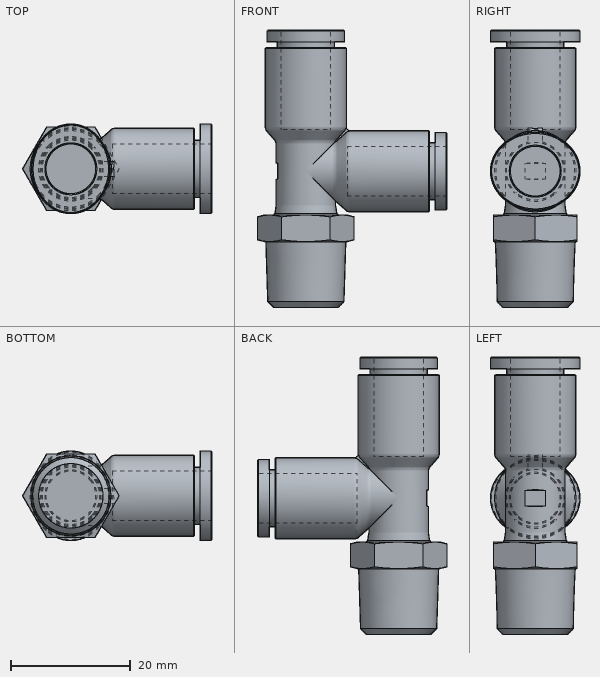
import cadquery as cq
import math

total_height = 46.4
port_reach = 23.6
junction_z = total_height - port_reach

thread_length = 11.0
thread_top_radius = 6.7
thread_taper = 1 / 32
thread_chamfer = 1.0

hex_flats = 14.0
hex_corners = hex_flats / math.cos(math.radians(30))
hex_height = 4.5
hex_top_z = thread_length + hex_height
hex_face_radius = 6.85
hex_corner_drop = 0.33

neck_radius = 5.0
foot_top_z = 17.0
foot_radius = 5.2
lip_radius = 5.4
lip_height = 0.25

barrel_radius = 6.8
shoulder_start = 4.95
shoulder_end = 7.0
shoulder_fillet = 0.9
selection_margin = 0.2
barrel_end = 20.7
edge_chamfer = 0.2
collar_thickness = 2.0
collar_start = port_reach - collar_thickness
collar_short_axis = 13.0
collar_long_axis = 15.0
stem_radius = 4.8
bore_radius = 4.15
bore_floor = shoulder_end

web_thickness = 2.5
web_reach = 7.2
web_tip_cut = 0.45

recess_depth = 0.3
recess_floor_height = 2.55
recess_mouth_height = 2.85


def make_threaded_end():
    end_radius = thread_top_radius - thread_taper * (thread_length - thread_chamfer)
    outline = [
        (0, 0),
        (end_radius - thread_chamfer, 0),
        (end_radius, thread_chamfer),
        (thread_top_radius, thread_length),
        (0, thread_length),
    ]
    return cq.Workplane("XZ").polyline(outline).close().revolve(360, (0, 0), (0, 1))


def make_hexagon():
    prism = cq.Workplane("XY").workplane(offset=thread_length).polygon(6, hex_corners).extrude(hex_height)
    corner_radius = hex_corners / 2
    outline = [
        (0, thread_length),
        (hex_face_radius, thread_length),
        (corner_radius, thread_length + hex_corner_drop),
        (corner_radius, hex_top_z - hex_corner_drop),
        (hex_face_radius, hex_top_z),
        (0, hex_top_z),
    ]
    corner_trim = cq.Workplane("XZ").polyline(outline).close().revolve(360, (0, 0), (0, 1))
    return prism.intersect(corner_trim)


def make_neck():
    outline = [
        (0, hex_top_z),
        (lip_radius, hex_top_z),
        (foot_radius, hex_top_z + lip_height),
        (neck_radius, foot_top_z),
        (neck_radius, junction_z),
        (0, junction_z),
    ]
    return cq.Workplane("XZ").polyline(outline).close().revolve(360, (0, 0), (0, 1))


def make_port():
    """Port outer shape along +Z, with the junction centre at the origin."""
    outline = [
        (0, 0),
        (neck_radius, 0),
        (neck_radius, shoulder_start),
        (barrel_radius, shoulder_end),
        (barrel_radius, barrel_end - edge_chamfer),
        (barrel_radius - edge_chamfer, barrel_end),
        (0, barrel_end),
    ]
    barrel = cq.Workplane("XZ").polyline(outline).close().revolve(360, (0, 0), (0, 1))
    shoulder_zone = cq.selectors.BoxSelector(
        (-barrel_radius, -barrel_radius, shoulder_start - selection_margin),
        (barrel_radius, barrel_radius, shoulder_end + selection_margin),
    )
    barrel = barrel.edges(shoulder_zone).edges("%CIRCLE").fillet(shoulder_fillet)

    stem_length = collar_start - barrel_end
    stem = cq.Workplane("XY").workplane(offset=barrel_end).circle(stem_radius).extrude(stem_length)
    collar = (
        cq.Workplane("XY")
        .workplane(offset=collar_start)
        .ellipse(collar_short_axis / 2, collar_long_axis / 2)
        .extrude(collar_thickness)
        .faces(">Z")
        .edges()
        .chamfer(edge_chamfer)
    )
    return barrel.union(stem).union(collar)


def make_bore():
    """Blind tube bore of a port, with a chamfered mouth, along +Z."""
    outline = [
        (0, bore_floor),
        (bore_radius, bore_floor),
        (bore_radius, port_reach - edge_chamfer),
        (bore_radius + edge_chamfer, port_reach),
        (0, port_reach),
    ]
    return cq.Workplane("XZ").polyline(outline).close().revolve(360, (0, 0), (0, 1))


def place_upward(shape):
    return shape.translate((0, 0, junction_z))


def place_sideways(shape):
    return shape.rotate((0, 0, 0), (0, 1, 0), 90).translate((0, 0, junction_z))


def make_web():
    """Plate filling the corner between the ports, cut off diagonally at its tip."""
    outline = [
        (0, 0),
        (web_reach, 0),
        (web_reach, web_reach - web_tip_cut),
        (web_reach - web_tip_cut, web_reach),
        (0, web_reach),
    ]
    web = cq.Workplane("XZ").polyline(outline).close().extrude(web_thickness / 2, both=True)
    return place_upward(web)


def make_recess():
    """Flat-floored cutter with sloping upper and lower walls, on the -X side."""
    outline = [
        (-neck_radius, -recess_mouth_height / 2),
        (-neck_radius + recess_depth, -recess_floor_height / 2),
        (-neck_radius + recess_depth, recess_floor_height / 2),
        (-neck_radius, recess_mouth_height / 2),
    ]
    cutter = cq.Workplane("XZ").polyline(outline).close().extrude(neck_radius, both=True)
    return place_upward(cutter)


body = make_threaded_end().union(make_hexagon()).union(make_neck())
for place in (place_upward, place_sideways):
    body = body.union(place(make_port()))
body = body.union(make_web())
for place in (place_upward, place_sideways):
    body = body.cut(place(make_bore()))
result = body.cut(make_recess())